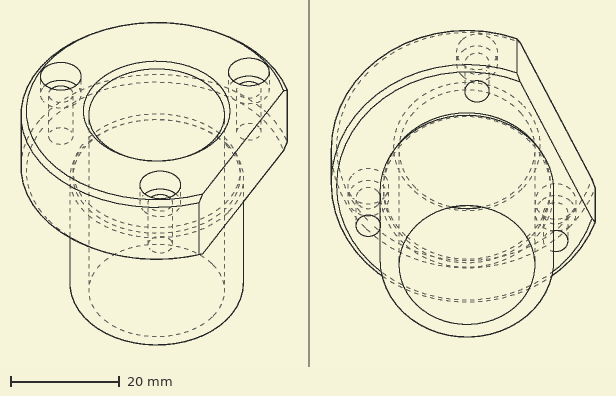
import cadquery as cq

flange_diameter = 49.95
flange_thickness = 15.0
flange_chamfer = 1.0
flat_distance = 18.05

total_height = 45.0
body_diameter = 31.95
body_length = total_height - flange_thickness
body_end_radius = 2.0

groove_diameter = 30.75
groove_straight_width = 1.4
groove_width = 2.0

bore_diameter = 24.98
bore_chamfer = 1.0

hole_circle_radius = 20.0
hole_count = 3
first_hole_angle = 60.0
hole_diameter = 4.5
counterbore_diameter = 7.5
counterbore_depth = 4.5


def make_flange():
    disc = cq.Workplane("XY").circle(flange_diameter / 2).extrude(flange_thickness)
    disc = disc.edges("%CIRCLE").chamfer(flange_chamfer)
    beyond_flat = cq.Workplane("XY").box(
        flange_diameter, flange_diameter, flange_thickness, centered=(False, True, False)
    )
    return disc.cut(beyond_flat.translate((flat_distance, 0, 0)))


def make_body():
    """Revolve the guide body, with its relief groove and rounded lower end."""
    body_radius = body_diameter / 2
    groove_radius = groove_diameter / 2
    profile = (
        cq.Workplane("XZ")
        .moveTo(0, 0)
        .lineTo(groove_radius, 0)
        .lineTo(groove_radius, -groove_straight_width)
        .lineTo(body_radius, -groove_width)
        .lineTo(body_radius, -body_length + body_end_radius)
        .radiusArc((body_radius - body_end_radius, -body_length), body_end_radius)
        .lineTo(0, -body_length)
        .close()
    )
    return profile.revolve(360, (0, 0, 0), (0, 1, 0))


def cut_bore(part):
    bore_radius = bore_diameter / 2
    bore = cq.Workplane("XY").workplane(offset=-body_length).circle(bore_radius).extrude(total_height)
    countersink = cq.Solid.makeCone(
        bore_radius,
        bore_radius + bore_chamfer,
        bore_chamfer,
        pnt=cq.Vector(0, 0, flange_thickness - bore_chamfer),
    )
    return part.cut(bore).cut(cq.Workplane(countersink))


def cut_screw_holes(part):
    return (
        part.faces(">Z")
        .workplane(origin=(0, 0, flange_thickness))
        .polarArray(hole_circle_radius, first_hole_angle, 360, hole_count)
        .cboreHole(hole_diameter, counterbore_diameter, counterbore_depth, flange_thickness)
    )


result = make_flange().union(make_body())
result = cut_bore(result)
result = cut_screw_holes(result)